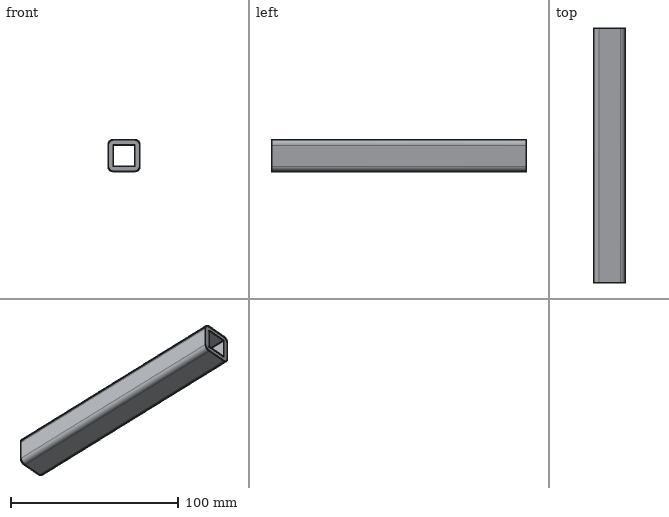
import cadquery as cq

length = 152.4
outer_width = 19.0
wall = 3.2
corner_radius = wall
inner_width = outer_width - 2 * wall


def square_bar(width):
    """Square bar centred on the origin, with its length along Y."""
    return cq.Workplane("XY").box(width, length, width)


outer = square_bar(outer_width).edges("|Y").fillet(corner_radius)
bore = square_bar(inner_width)

result = outer.cut(bore)